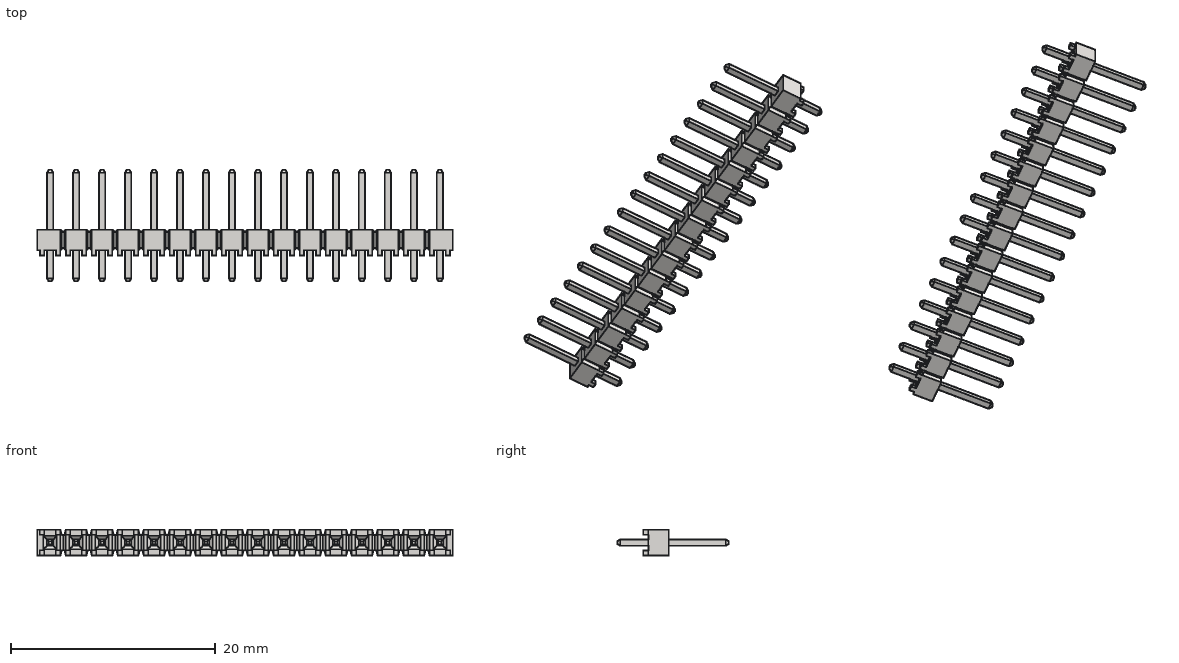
import cadquery as cq

PIN_COUNT = 16
PITCH = 2.54
BODY_HEIGHT = 2.54
BODY_LENGTH = PIN_COUNT * PITCH

BODY_DEPTH = 2.02

CELL_FACE_WIDTH = 2.02
GAP_HALF_WIDTH = (PITCH - CELL_FACE_WIDTH) / 2
TAPER_LENGTH = GAP_HALF_WIDTH / 2
TAPER_INSET_Y = TAPER_LENGTH
NECK_INSET_Y = GAP_HALF_WIDTH
NECK_INSET_Z = 0.508

PIN_SIZE = 0.625
PIN_LENGTH = 10.92
PIN_FRONT_REACH = 3.045
TIP_LENGTH = 0.3
TIP_SIZE = 0.28

FOOT_LENGTH = 0.51
FOOT_HEIGHT = 0.508
FOOT_WIDTH = 0.44

FUNNEL_OPENING = 1.33
FUNNEL_DEPTH = 0.254

CELL_CENTRES = [(i - (PIN_COUNT - 1) / 2) * PITCH for i in range(PIN_COUNT)]


def box(x_size, y_size, z_size, x_centre, y_min, z_centre):
    """A box centred in X and Z that starts at y_min."""
    return cq.Workplane("XY").box(x_size, y_size, z_size).translate((x_centre, y_min + y_size / 2, z_centre))


def square_frustum(x, y_start, size_start, y_end, size_end):
    """A square frustum along Y, centred at (x, z = 0)."""
    return (
        cq.Workplane("XZ", origin=(x, y_start, 0))
        .rect(size_start, size_start)
        .workplane(offset=y_start - y_end)
        .rect(size_end, size_end)
        .loft(ruled=True)
    )


def cell_taper(x, side):
    """The tapered flank of a cell, on its -X (side = -1) or +X (side = 1) side."""
    face_x = x + side * CELL_FACE_WIDTH / 2
    return (
        cq.Workplane("YZ", origin=(face_x, BODY_DEPTH / 2, 0))
        .rect(BODY_DEPTH, BODY_HEIGHT)
        .workplane(offset=side * TAPER_LENGTH)
        .rect(BODY_DEPTH - 2 * TAPER_INSET_Y, BODY_HEIGHT - 2 * NECK_INSET_Z)
        .loft(ruled=True)
    )


def neck(x):
    """The bridge between two cells, centred at x, with a V-notch in its front and back."""
    half_length = GAP_HALF_WIDTH - TAPER_LENGTH
    height = BODY_HEIGHT - 2 * NECK_INSET_Z
    outline = [
        (x - half_length, TAPER_INSET_Y),
        (x, NECK_INSET_Y),
        (x + half_length, TAPER_INSET_Y),
        (x + half_length, BODY_DEPTH - TAPER_INSET_Y),
        (x, BODY_DEPTH - NECK_INSET_Y),
        (x - half_length, BODY_DEPTH - TAPER_INSET_Y),
    ]
    return cq.Workplane("XY").polyline(outline).close().extrude(height / 2, both=True)


def end_block(side):
    """The plain block that fills an end cell out to the end of the body."""
    centre_x = side * (BODY_LENGTH - GAP_HALF_WIDTH) / 2
    return box(GAP_HALF_WIDTH, BODY_DEPTH, BODY_HEIGHT, centre_x, 0, 0)


def cell(x):
    """One cell of the body, with its funnel but without flanks, feet or pin."""
    block = box(CELL_FACE_WIDTH, BODY_DEPTH, BODY_HEIGHT, x, 0, 0)
    return block.cut(square_frustum(x, 0, FUNNEL_OPENING, FUNNEL_DEPTH, PIN_SIZE))


def feet(x):
    """Four standoff feet in front of the cell, flush with its top and bottom faces."""
    x_offset = (CELL_FACE_WIDTH - FOOT_WIDTH) / 2
    z_offset = (BODY_HEIGHT - FOOT_HEIGHT) / 2
    return [
        box(FOOT_WIDTH, FOOT_LENGTH, FOOT_HEIGHT, x + sx * x_offset, -FOOT_LENGTH, sz * z_offset)
        for sx in (-1, 1)
        for sz in (-1, 1)
    ]


def pin(x):
    """A square pin through the body, tapered at both ends."""
    front = -PIN_FRONT_REACH
    back = front + PIN_LENGTH
    shank = box(PIN_SIZE, PIN_LENGTH - 2 * TIP_LENGTH, PIN_SIZE, x, front + TIP_LENGTH, 0)
    front_tip = square_frustum(x, front, TIP_SIZE, front + TIP_LENGTH, PIN_SIZE)
    back_tip = square_frustum(x, back - TIP_LENGTH, PIN_SIZE, back, TIP_SIZE)
    return shank.union(front_tip).union(back_tip)


parts = [end_block(-1), end_block(1)]

for left_x, right_x in zip(CELL_CENTRES, CELL_CENTRES[1:]):
    parts.append(cell_taper(left_x, 1))
    parts.append(neck((left_x + right_x) / 2))
    parts.append(cell_taper(right_x, -1))

for cell_x in CELL_CENTRES:
    parts.append(cell(cell_x))
    parts.append(pin(cell_x))
    parts.extend(feet(cell_x))

solids = [part.val() for part in parts]

result = cq.Workplane(solids[0].fuse(*solids[1:]).clean()).solids()